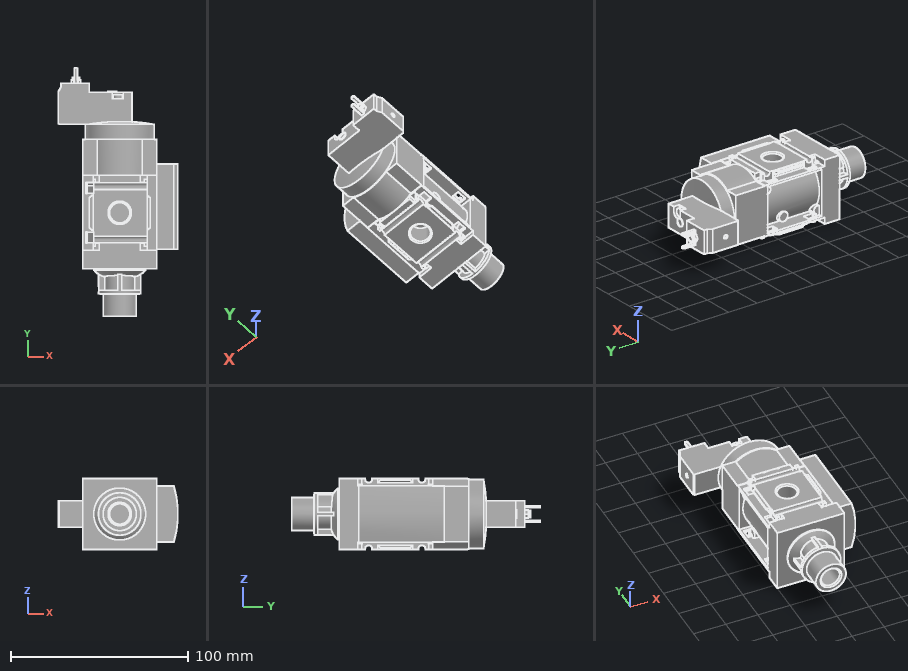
import cadquery as cq
import math


BODY_X = 41.8
BODY_Z = 40.1
HALF_X = BODY_X / 2
HALF_Z = BODY_Z / 2
LEDGE_START_Y = 10.5
BODY_END_Y = 52.8
LEDGE_Z = 16.0
PAD_LEFT_X = -15.0
PAD_RIGHT_X = 15.5

WINDOW_START_Y = 12.6
WINDOW_END_Y = 50.8
WINDOW_HALF_Z = 14.6
CORE_DIAMETER = 37.0
PEG_END_X = -CORE_DIAMETER / 2
FREE_PEG = (37.8, -8.5, 6.0)
UPPER_PEG = (49.4, 11.1, 5.0)
LOWER_PEG = (13.9, -11.1, 5.0)
CORNER_WEB_LENGTH = 2.0

PAD_MIDDLE_Y = (LEDGE_START_Y + BODY_END_Y) / 2
GROOVE_DIAMETER = 3.8
GROOVE_AXIS_DEPTH = 0.4
GROOVE_SPACING = 30.0
PORT_DIAMETER = 11.5
PORT_MOUTH_DIAMETER = 13.2
PORT_DEPTH = 14.0
POCKET_OUTER_X = -19.0
POCKET_INNER_X = -14.7
POCKET_LENGTH = 6.0
POCKET_SPACING = 27.9
NOTCH_FLOOR_Z = 16.7
NOTCH_INNER_X = 11.6
NOTCH_HOOK_X = 13.8
NOTCH_LENGTH = 3.8
HOOK_LENGTH = 1.5
TAB_ROOT_X = 12.6
TAB_TIP_X = 17.1
TAB_ROOT_LENGTH = 19.9
TAB_TIP_LENGTH = 17.0
TAB_ROOT_Z = 17.5
TAB_TIP_Z = 19.0
TAB_TOP_Z = 19.8

REAR_END_Y = 73.1
REAR_HALF_Z = 15.6
CAP_DIAMETER = 39.0
CAP_END_Y = 81.5
CROWN_RISE = 1.8

COVER_START_Y = 11.0
COVER_END_Y = 59.2
COVER_HALF_Z = 15.9
COVER_EDGE_X = 30.6
COVER_TOP_X = 33.0

COIL_LEFT_X = -34.8
COIL_RIGHT_X = 7.0
COIL_STEP_X = -17.1
COIL_LOW_Y = 99.8
COIL_HIGH_Y = 104.8
COIL_Z = 15.0
COIL_SLOPE = (1.5, 2.8)
COIL_CHAMFER = 0.63
OVERRIDE_Y = 90.7
OVERRIDE_DIAMETER = 2.5
OVERRIDE_DEPTH = 0.8
WELL_X = -1.05
WELL_Z = 4.5
WELL_DIAMETER = 6.0
WELL_DEPTH = 3.9
SCREW_DIAMETER = 5.0
SCREW_HEIGHT = 2.4
BUTTON_X = -4.2
BUTTON_HEIGHT = 0.4

PLUG_X = -24.7
BLADE_END_Y = 113.5
BLADE_WIDTH = 2.0
BLADE_THICKNESS = 1.0
BLADE_Z = 4.0
BLADE_CHAMFER = 0.4
NUT_CORNER_DIAMETER = 5.5
NUT_HEIGHT = 1.8
NECK_DIAMETER = 3.8
NECK_HEIGHT = 2.5
STUD_HEAD_DIAMETER = 4.2
STUD_HEIGHT = 3.2

NOZZLE_END_Y = -26.8
NOZZLE_DIAMETER = 18.8
NOZZLE_BORE = 11.5
NOZZLE_MOUTH_DIAMETER = 13.2
NOZZLE_BORE_DEPTH = 14.0
BASE_DIAMETER = 29.3
BASE_HEIGHT = 0.7
STEM_DIAMETER = 17.1
DOME_END_Y = -4.5
DOME_BULGE = 0.4
SADDLE_BOTTOM_Z = 4.0
SADDLE_TOP_Z = 10.8
COLLAR_DIAMETER = 24.0
COLLAR_START_Y = -12.2
COLLAR_END_Y = -14.0
COLLAR_CONE_END_Y = -14.5
RIB_WIDTH = 2.1


def block(x0, x1, y0, y1, z0, z1):
    """Box between two opposite corners."""
    return cq.Workplane("XY").box(x1 - x0, y1 - y0, z1 - z0, centered=False).translate((x0, y0, z0))


def rod_y(diameter, y0, y1, x=0, z=0):
    """Cylinder along Y from y0 to y1."""
    base = cq.Workplane(cq.Plane((x, y0, z), (1, 0, 0), (0, 1, 0)))
    return base.circle(diameter / 2).extrude(y1 - y0)


def rod_x(diameter, x0, x1, y, z):
    """Cylinder along X from x0 to x1."""
    base = cq.Workplane(cq.Plane((x0, y, z), (0, 1, 0), (1, 0, 0)))
    return base.circle(diameter / 2).extrude(x1 - x0)


def bore_with_mouth(diameter, mouth_diameter, depth):
    """Blind bore going down from Z = 0 with a 45 degree mouth."""
    mouth = (mouth_diameter - diameter) / 2
    profile = [
        (0, 0),
        (mouth_diameter / 2, 0),
        (diameter / 2, -mouth),
        (diameter / 2, -depth),
        (0, -depth),
    ]
    return cq.Workplane("XZ").polyline(profile).close().revolve(360, (0, 0), (0, 1))


def make_corner_notch():
    """L-shaped notch at the front +X corner of the upper pad, leaving a small hook."""
    hook_start = LEDGE_START_Y + NOTCH_LENGTH - HOOK_LENGTH
    notch_end = LEDGE_START_Y + NOTCH_LENGTH
    inner = block(NOTCH_INNER_X, NOTCH_HOOK_X, LEDGE_START_Y, notch_end, NOTCH_FLOOR_Z, HALF_Z)
    outer = block(NOTCH_HOOK_X, HALF_X, LEDGE_START_Y, hook_start, NOTCH_FLOOR_Z, HALF_Z)
    return inner.union(outer)


def make_tab():
    """Tapered lug on the +X flank of the upper pad, with a sloping underside."""
    outline = [
        (TAB_ROOT_X, -TAB_ROOT_LENGTH / 2),
        (PAD_RIGHT_X, -TAB_ROOT_LENGTH / 2),
        (TAB_TIP_X, -TAB_TIP_LENGTH / 2),
        (TAB_TIP_X, TAB_TIP_LENGTH / 2),
        (PAD_RIGHT_X, TAB_ROOT_LENGTH / 2),
        (TAB_ROOT_X, TAB_ROOT_LENGTH / 2),
    ]
    section = [
        (TAB_ROOT_X, TAB_ROOT_Z),
        (PAD_RIGHT_X, TAB_ROOT_Z),
        (TAB_TIP_X, TAB_TIP_Z),
        (TAB_TIP_X, TAB_TOP_Z),
        (TAB_ROOT_X, TAB_TOP_Z),
    ]
    plan = cq.Workplane("XY").polyline(outline).close().extrude(HALF_Z)
    wedge = cq.Workplane("XZ").polyline(section).close().extrude(TAB_ROOT_LENGTH / 2, both=True)
    return plan.intersect(wedge).translate((0, PAD_MIDDLE_Y, 0))


def mirrored_pair(shape, plane, point=(0, 0, 0)):
    """The shape together with its mirror image."""
    return shape.union(shape.mirror(plane, point))


def make_pad_cuts():
    """All material removed around the upper pad."""
    cuts = bore_with_mouth(PORT_DIAMETER, PORT_MOUTH_DIAMETER, PORT_DEPTH)
    cuts = cuts.translate((0, PAD_MIDDLE_Y, HALF_Z))
    for x0, x1 in ((-HALF_X, PAD_LEFT_X), (PAD_RIGHT_X, HALF_X)):
        cuts = cuts.union(block(x0, x1, LEDGE_START_Y, BODY_END_Y, LEDGE_Z, HALF_Z))
    for side in (-1, 1):
        groove_y = PAD_MIDDLE_Y + side * GROOVE_SPACING / 2
        groove = rod_x(GROOVE_DIAMETER, -HALF_X, HALF_X, groove_y, HALF_Z - GROOVE_AXIS_DEPTH)
        pocket_y = PAD_MIDDLE_Y + side * POCKET_SPACING / 2
        pocket = block(
            POCKET_OUTER_X,
            POCKET_INNER_X,
            pocket_y - POCKET_LENGTH / 2,
            pocket_y + POCKET_LENGTH / 2,
            WINDOW_HALF_Z,
            HALF_Z,
        )
        cuts = cuts.union(groove).union(pocket)
    notches = mirrored_pair(make_corner_notch(), "YZ")
    notches = mirrored_pair(notches, "XZ", (0, PAD_MIDDLE_Y, 0))
    return cuts.union(notches)


def make_body():
    """Central housing with the side window and both connection pads."""
    body = block(-HALF_X, HALF_X, 0, BODY_END_Y, -HALF_Z, HALF_Z)
    body = body.cut(mirrored_pair(make_pad_cuts(), "XY"))
    tabs = mirrored_pair(mirrored_pair(make_tab(), "YZ"), "XY")
    window = block(-HALF_X, 0, WINDOW_START_Y, WINDOW_END_Y, -WINDOW_HALF_Z, WINDOW_HALF_Z)
    window = window.cut(rod_y(CORE_DIAMETER, WINDOW_START_Y, WINDOW_END_Y))
    for y, z, diameter in (FREE_PEG, UPPER_PEG, LOWER_PEG):
        window = window.cut(rod_x(diameter, PEG_END_X, 0, y, z))
    upper_z = UPPER_PEG[1]
    lower_z = LOWER_PEG[1]
    upper_web = block(
        PEG_END_X, 0, WINDOW_END_Y - CORNER_WEB_LENGTH, WINDOW_END_Y, upper_z, WINDOW_HALF_Z
    )
    lower_web = block(
        PEG_END_X, 0, WINDOW_START_Y, WINDOW_START_Y + CORNER_WEB_LENGTH, -WINDOW_HALF_Z, lower_z
    )
    return body.union(tabs).cut(window.cut(upper_web).cut(lower_web))


def make_rear():
    """Round rear section with flat flanks, closed by a domed cap."""
    rear = rod_y(BODY_Z, BODY_END_Y, REAR_END_Y)
    rear = rear.union(block(-HALF_X, HALF_X, BODY_END_Y, REAR_END_Y, -REAR_HALF_Z, REAR_HALF_Z))
    radius = CAP_DIAMETER / 2
    crown_radius = (radius**2 + CROWN_RISE**2) / (2 * CROWN_RISE)
    crown_center_y = CAP_END_Y + CROWN_RISE - crown_radius
    mid_y = crown_center_y + math.sqrt(crown_radius**2 - (radius / 2) ** 2)
    cap = (
        cq.Workplane("XY")
        .moveTo(0, REAR_END_Y)
        .lineTo(radius, REAR_END_Y)
        .lineTo(radius, CAP_END_Y)
        .threePointArc((radius / 2, mid_y), (0, CAP_END_Y + CROWN_RISE))
        .close()
        .revolve(360, (0, 0), (0, 1))
    )
    return rear.union(cap)


def make_cover():
    """Cover with a bulged outer face."""
    return (
        cq.Workplane("XZ", origin=(0, COVER_START_Y, 0))
        .moveTo(HALF_X, -COVER_HALF_Z)
        .lineTo(COVER_EDGE_X, -COVER_HALF_Z)
        .threePointArc((COVER_TOP_X, 0), (COVER_EDGE_X, COVER_HALF_Z))
        .lineTo(HALF_X, COVER_HALF_Z)
        .close()
        .extrude(COVER_START_Y - COVER_END_Y)
    )


def make_coil():
    """Stepped solenoid housing with its screw, button and manual override."""
    slope_x, slope_y = COIL_SLOPE
    outline = [
        (COIL_LEFT_X + COIL_CHAMFER, CAP_END_Y),
        (COIL_RIGHT_X, CAP_END_Y),
        (COIL_RIGHT_X, COIL_LOW_Y),
        (COIL_STEP_X, COIL_LOW_Y),
        (COIL_STEP_X, COIL_HIGH_Y),
        (COIL_LEFT_X + slope_x, COIL_HIGH_Y),
        (COIL_LEFT_X + slope_x, COIL_LOW_Y + slope_y),
        (COIL_LEFT_X, COIL_LOW_Y),
        (COIL_LEFT_X, CAP_END_Y + COIL_CHAMFER),
    ]
    coil = cq.Workplane("XY").polyline(outline).close().extrude(COIL_Z / 2, both=True)
    coil = coil.cut(
        rod_x(OVERRIDE_DIAMETER, COIL_LEFT_X, COIL_LEFT_X + OVERRIDE_DEPTH, OVERRIDE_Y, 0)
    )
    well_floor = COIL_LOW_Y - WELL_DEPTH
    half_well = WELL_DIAMETER / 2
    well = rod_y(WELL_DIAMETER, well_floor, COIL_LOW_Y, WELL_X, WELL_Z)
    well = well.union(
        block(WELL_X - half_well, WELL_X + half_well, well_floor, COIL_LOW_Y, WELL_Z, COIL_Z / 2)
    )
    screw = rod_y(SCREW_DIAMETER, well_floor, well_floor + SCREW_HEIGHT, WELL_X, WELL_Z)
    button = rod_y(SCREW_DIAMETER, COIL_LOW_Y, COIL_LOW_Y + BUTTON_HEIGHT, BUTTON_X)
    return coil.cut(well).union(screw).union(button)


def make_contacts():
    """Two flat blades with a hexagon nut and stud between them."""
    nut = (
        cq.Workplane(cq.Plane((PLUG_X, COIL_HIGH_Y, 0), (1, 0, 0), (0, 1, 0)))
        .polygon(6, NUT_CORNER_DIAMETER)
        .extrude(NUT_HEIGHT)
    )
    neck_end = COIL_HIGH_Y + NECK_HEIGHT
    contacts = nut.union(rod_y(NECK_DIAMETER, COIL_HIGH_Y, neck_end, PLUG_X))
    contacts = contacts.union(
        rod_y(STUD_HEAD_DIAMETER, neck_end, COIL_HIGH_Y + STUD_HEIGHT, PLUG_X)
    )
    for side in (-1, 1):
        blade = cq.Workplane("XY").box(
            BLADE_WIDTH, BLADE_END_Y - COIL_HIGH_Y, BLADE_THICKNESS, centered=(True, False, True)
        )
        blade = blade.edges("|Z and >Y").chamfer(BLADE_CHAMFER)
        contacts = contacts.union(blade.translate((PLUG_X, COIL_HIGH_Y, side * BLADE_Z)))
    return contacts


def make_nozzle():
    """Hose nozzle on a domed base, with a collar, four ribs and a raised saddle on the upper stem."""
    base_r = BASE_DIAMETER / 2
    stem_r = STEM_DIAMETER / 2
    collar_r = COLLAR_DIAMETER / 2
    tube_r = NOZZLE_DIAMETER / 2
    dome_middle = (
        (base_r + stem_r) / 2 + DOME_BULGE,
        (DOME_END_Y - BASE_HEIGHT) / 2 - DOME_BULGE,
    )
    profile = (
        cq.Workplane("XY")
        .lineTo(base_r, 0)
        .lineTo(base_r, -BASE_HEIGHT)
        .threePointArc(dome_middle, (stem_r, DOME_END_Y))
        .lineTo(stem_r, COLLAR_START_Y)
        .lineTo(collar_r, COLLAR_START_Y)
        .lineTo(collar_r, COLLAR_END_Y)
        .lineTo(tube_r, COLLAR_CONE_END_Y)
        .lineTo(tube_r, NOZZLE_END_Y)
        .lineTo(0, NOZZLE_END_Y)
        .close()
    )
    nozzle = profile.revolve(360, (0, 0), (0, 1))
    half_rib = RIB_WIDTH / 2
    flat_rib = block(-collar_r, collar_r, COLLAR_START_Y, 0, -half_rib, half_rib)
    upright_rib = block(-half_rib, half_rib, COLLAR_START_Y, 0, -collar_r, collar_r)
    ribs = flat_rib.union(upright_rib).intersect(rod_y(COLLAR_DIAMETER, COLLAR_START_Y, 0))
    saddle = rod_y(STEM_DIAMETER, COLLAR_START_Y, 0, z=SADDLE_TOP_Z - stem_r)
    saddle = saddle.intersect(
        block(-stem_r, stem_r, COLLAR_START_Y, 0, SADDLE_BOTTOM_Z, SADDLE_TOP_Z)
    )
    bore = bore_with_mouth(NOZZLE_BORE, NOZZLE_MOUTH_DIAMETER, NOZZLE_BORE_DEPTH)
    bore = bore.rotate((0, 0, 0), (1, 0, 0), 90).translate((0, NOZZLE_END_Y, 0))
    return nozzle.union(ribs).union(saddle).cut(bore)


result = (
    make_body()
    .union(make_rear())
    .union(make_cover())
    .union(make_coil())
    .union(make_contacts())
    .union(make_nozzle())
)